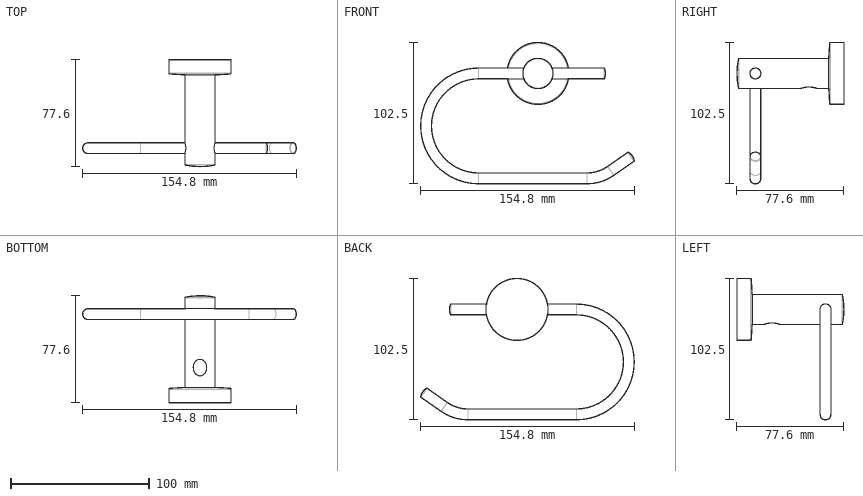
import cadquery as cq
import math

flange_radius = 22.5
flange_rim_depth = 10.5
flange_dome_height = 0.9
flange_edge_fillet = 0.8

post_radius = 11.0
post_crown_depth = 77.64
post_dome_height = 1.2
post_rim_depth = post_crown_depth - post_dome_height
post_edge_fillet = 0.5

seat_radius = 6.0
seat_height = seat_radius
seat_depth = 25.5

rod_radius = 4.0
rod_depth = 64.2
rod_dome_height = 1.0
rod_edge_fillet = 0.5
upper_end_x = 48.0
loop_radius = 38.0
loop_center_x = -43.0
lower_bend_start_x = 35.5
lower_bend_radius = 30.0
lower_bend_angle = math.radians(35)
lower_end_length = 18.12


def domed_bar(radius, length, dome_height, edge_fillet):
    """Round bar along +Z from Z = 0, with a rounded rim and a domed far end."""
    sphere_radius = (radius**2 + dome_height**2) / (2 * dome_height)
    half_angle = math.asin(radius / sphere_radius) / 2
    dome_middle = (
        sphere_radius * math.sin(half_angle),
        length + dome_height - sphere_radius * (1 - math.cos(half_angle)),
    )
    bar = (
        cq.Workplane("XZ")
        .lineTo(radius, 0)
        .lineTo(radius, length)
        .threePointArc(dome_middle, (0, length + dome_height))
        .close()
        .revolve(360, (0, 0, 0), (0, 1, 0))
    )
    rim = cq.selectors.NearestToPointSelector((0, 0, length))
    return bar.edges("%CIRCLE").edges(rim).fillet(edge_fillet)


def along_minus_y(bar):
    return bar.rotate((0, 0, 0), (1, 0, 0), 90)


def make_rod():
    """Rod swept along its axis, with a domed bar forming each straight end."""
    lower_z = -2 * loop_radius
    bend_end_x = lower_bend_start_x + lower_bend_radius * math.sin(lower_bend_angle)
    bend_end_z = lower_z + lower_bend_radius * (1 - math.cos(lower_bend_angle))
    half_angle = lower_bend_angle / 2
    bend_middle = (
        lower_bend_start_x + lower_bend_radius * math.sin(half_angle),
        lower_z + lower_bend_radius * (1 - math.cos(half_angle)),
    )
    axis = (
        cq.Workplane("XZ")
        .moveTo(loop_center_x, 0)
        .threePointArc((loop_center_x - loop_radius, -loop_radius), (loop_center_x, lower_z))
        .lineTo(lower_bend_start_x, lower_z)
        .threePointArc(bend_middle, (bend_end_x, bend_end_z))
    )
    bent_stretch = cq.Workplane("YZ", origin=(loop_center_x, 0, 0)).circle(rod_radius).sweep(axis)
    upper_end = (
        domed_bar(rod_radius, upper_end_x - loop_center_x, rod_dome_height, rod_edge_fillet)
        .rotate((0, 0, 0), (0, 1, 0), 90)
        .translate((loop_center_x, 0, 0))
    )
    lower_end = (
        domed_bar(rod_radius, lower_end_length, rod_dome_height, rod_edge_fillet)
        .rotate((0, 0, 0), (0, 1, 0), 90 - math.degrees(lower_bend_angle))
        .translate((bend_end_x, 0, bend_end_z))
    )
    return bent_stretch.union(upper_end).union(lower_end).translate((0, -rod_depth, 0))


def make_post(rod):
    """Post seated in the flange at rim level, pierced by the rod."""
    post = domed_bar(post_radius, post_rim_depth - flange_rim_depth, post_dome_height, post_edge_fillet)
    post = along_minus_y(post).translate((0, -flange_rim_depth, 0))
    seat = cq.Workplane(cq.Solid.makeCone(
        seat_radius, 0, seat_height, pnt=cq.Vector(0, -seat_depth, -post_radius), dir=cq.Vector(0, 0, 1)
    ))
    return post.cut(seat).cut(rod)


def make_flange():
    """Domed disc with a flat round recess that takes the foot of the post."""
    disc = along_minus_y(domed_bar(flange_radius, flange_rim_depth, flange_dome_height, flange_edge_fillet))
    recess = cq.Workplane("XZ", origin=(0, -flange_rim_depth, 0)).circle(post_radius).extrude(flange_rim_depth)
    return disc.cut(recess)


rod = make_rod()
post = make_post(rod)
flange = make_flange()

result = cq.Compound.makeCompound([flange.val(), post.val(), rod.val()])